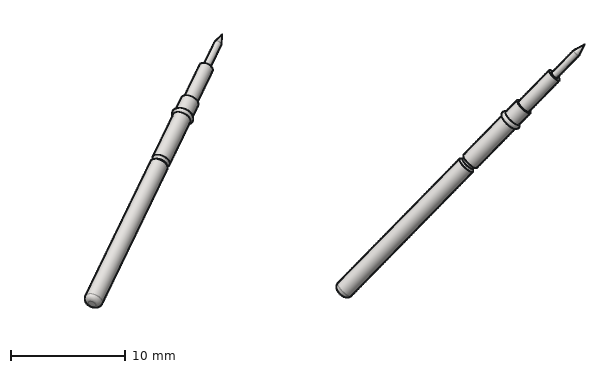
import cadquery as cq
import math


total_length = 32.0
tip_length = 1.1
plunger_end_depth = 4.0
barrel_end_depth = 8.0
flange_front_depth = 9.5
groove_front_depth = 15.05

needle_radius = 0.34
plunger_radius = 0.65
barrel_radius = 0.83
flange_radius = 1.0

tail_round = 0.47

flange_width = 0.5
groove_width = 0.5
groove_rear_flank = 0.2
groove_depth = 0.18
groove_flank_radius = 0.32

tip_y = total_length
needle_shoulder_y = total_length - tip_length
plunger_end_y = total_length - plunger_end_depth
barrel_end_y = total_length - barrel_end_depth
flange_front_y = total_length - flange_front_depth
groove_front_y = total_length - groove_front_depth


def make_body():
    """Revolve the stepped half outline: rounded tail, barrel, plunger, needle and cone."""
    tail_flat_radius = barrel_radius - tail_round
    tail_mid = tail_round * math.sqrt(0.5)
    outline = (
        cq.Workplane("XY")
        .lineTo(tail_flat_radius, 0)
        .threePointArc((tail_flat_radius + tail_mid, tail_round - tail_mid), (barrel_radius, tail_round))
        .lineTo(barrel_radius, barrel_end_y)
        .lineTo(plunger_radius, barrel_end_y)
        .lineTo(plunger_radius, plunger_end_y)
        .lineTo(needle_radius, plunger_end_y)
        .lineTo(needle_radius, needle_shoulder_y)
        .lineTo(0, tip_y)
        .close()
    )
    return outline.revolve(360, (0, 0), (0, 1))


def make_flange():
    """Stop flange with a full-round rim."""
    rim_round = flange_width / 2
    rim_start = flange_radius - rim_round
    flange_rear_y = flange_front_y - flange_width
    outline = (
        cq.Workplane("XY")
        .moveTo(0, flange_rear_y)
        .lineTo(rim_start, flange_rear_y)
        .threePointArc((flange_radius, flange_rear_y + rim_round), (rim_start, flange_front_y))
        .lineTo(0, flange_front_y)
        .close()
    )
    return outline.revolve(360, (0, 0), (0, 1))


def make_groove_cutter():
    """Ring that forms the crimp groove: a curved front flank and a conical rear flank."""
    floor_radius = barrel_radius - groove_depth
    groove_rear_y = groove_front_y - groove_width
    floor_y = groove_rear_y + groove_rear_flank
    outline = (
        cq.Workplane("XY")
        .moveTo(barrel_radius, groove_rear_y)
        .lineTo(floor_radius, floor_y)
        .radiusArc((barrel_radius, groove_front_y), groove_flank_radius)
        .close()
    )
    return outline.revolve(360, (0, 0), (0, 1))


result = make_body().union(make_flange()).cut(make_groove_cutter())